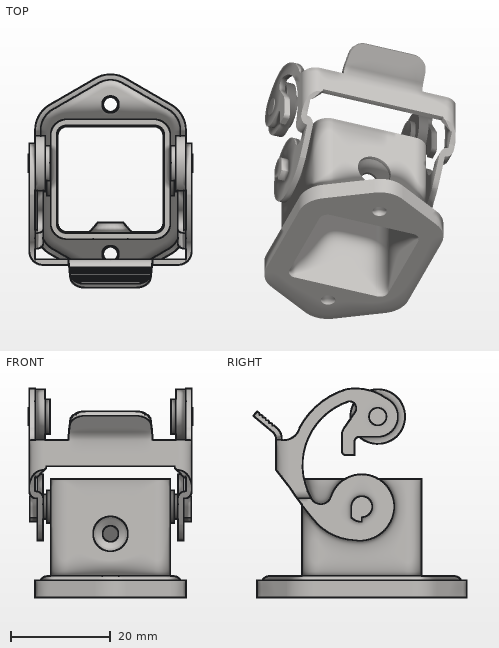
import cadquery as cq
import math

FLANGE_HALF_WIDTH = 15.15
FLANGE_APEX_Y = 21.98
FLANGE_SLOPE_DEG = 30.0
FLANGE_CORNER_R = 6.0
FLANGE_THICKNESS = 3.5
FLANGE_TOP_Z = 4.35
PAD_INSET = 0.92
PAD_EDGE_R = 1.64
HOLE_Y = 15.0
HOLE_TOP_R = 1.7
HOLE_BOTTOM_R = 1.45

HOUSING_SIZE = 24.0
HOUSING_TOP_Z = 23.8
HOUSING_CORNER_R = 3.2
WALL = 1.2
OPENING_CORNER_R = 2.0
OPENING_DRAFT_DEG = 0.6
SCREW_Z = 12.8
SCREW_MOUTH_R = 3.5
SCREW_MOUTH_DEPTH = 0.8
SCREW_CONE_LENGTH = 2.0
SCREW_HOLE_R = 1.6
SCREW_BOSS_R = 4.45
SCREW_BOSS_TIP_R = 2.55
SCREW_BOSS_LENGTH = 2.15

PIVOT_Y = 0.0
PIVOT_Z = 18.25
PIN_COLLAR_R = 3.3
PIN_COLLAR_LENGTH = 0.8
PIN_R = 2.5
PIN_HEAD_R = 2.1
PIN_HOOK_R = 3.05
PIN_END_X = 16.2

SHEET = 1.2
LEVER_HALF_WIDTH = 16.3
HUB_PLATE_OUTER_X = 14.7
JOG_TOP_Z = 21.34
JOG_BOTTOM_Z = 19.89
JOG_INNER_MID = (14.2, 21.1)
HUB_R = 6.5
HUB_REAR_R = 6.75
ARM_CENTER = (1.55, 26.6)
ARM_INNER_R = 13.4
ARM_OUTER_R = 15.9
ARM_START_DEG = 107.0
ARM_END_DEG = 152.0
ARM_MID_DEG = 170.0
SLOT_START_DEG = 108.0
CROTCH_R = 2.15
CROTCH_CENTER = (-8.2, 20.9)
LEVER_TOP_Z = 41.94
HEAD_CREST_Y = -0.6
UNDERSIDE_UPPER_MID = (-11.8, 18.3)
UNDERSIDE_BEND = (-8.82, 14.67)
UNDERSIDE_LOWER_MID = (-5.4, 12.4)
HUB_BOTTOM = (-1.5, 11.52)

SLOT_CENTER = (-2.45, 37.95)
SLOT_R = 1.35
SLOT_MID_DEG = 36.0
SLOT_END_DEG = -38.0
FINGER_FRONT_Y = -4.0
FINGER_REAR_Y = -1.44
FINGER_KNEE_Z = 32.8
FINGER_KNEE_MID = (-3.88, 33.4)
FINGER_KNEE_TOP = (-3.6, 33.95)
FINGER_BOTTOM_Z = 28.55
FINGER_TIP_R = 0.8
FINGER_ROOT_R = 1.0

ROLLER_CENTER = (3.2, 36.3)
HEAD_R = 4.05
HEAD_END_DEG = 65.0
ROLLER_R = 5.5
ROLLER_LENGTH = 2.0
ROLLER_CAP_R = 3.5
ROLLER_CAP_LENGTH = 1.0
RIVET_R = 1.76
RIVET_END_X = 16.5

BRIDGE_FRONT_Y = -17.2
BRIDGE_TOP_Z = 31.63
BRIDGE_BOTTOM_Z = 26.3
BRIDGE_CORNER_R = 2.8
BRIDGE_HOLLOW_MID = (-13.75, 32.2)
BRIDGE_HOLLOW_END_Y = -16.1
SLOPE_FRONT_Z = 25.6
SLOPE_ARM_POINT = (-14.43, 22.05)
BRIDGE_STEP_X = 12.85
BRIDGE_STEP_Z = 26.0
TAB_TIP_Y = -21.76
TAB_TIP_Z = 36.45
TAB_ANGLE_DEG = 40.0
TAB_BEND_R = 1.9
TAB_BASE_HALF_WIDTH = 8.6
TAB_TIP_HALF_WIDTH = 7.9
TAB_TAPER_LENGTH = 9.0
TAB_CORNER_R = 3.0
GRIP_COUNT = 5
GRIP_PITCH = 0.84
GRIP_WIDTH = 0.45


def polar(center, radius, degrees):
    """Point at an angle on a circle in the YZ plane."""
    angle = math.radians(degrees)
    return (center[0] + radius * math.cos(angle), center[1] + radius * math.sin(angle))


def offset_point(point, direction, distance):
    """Point shifted by a distance along a unit direction."""
    return tuple(p + distance * d for p, d in zip(point, direction))


def toward(start, target, distance):
    """Point at a distance from start in the direction of target."""
    span = math.dist(start, target)
    return tuple(a + (b - a) * distance / span for a, b in zip(start, target))


def x_cylinder(center, radius, x_start, x_end):
    return (
        cq.Workplane("YZ", origin=(x_start, 0, 0))
        .center(*center)
        .circle(radius)
        .extrude(x_end - x_start)
    )


def cone(origin, direction, start_r, end_r, length):
    return cq.Workplane(
        cq.Solid.makeCone(start_r, end_r, length, cq.Vector(*origin), cq.Vector(*direction))
    )


def flange_prism(inset, height):
    """Six-sided rounded prism, offset inward from the flange outline."""
    slope = math.radians(FLANGE_SLOPE_DEG)
    half_width = FLANGE_HALF_WIDTH - inset
    apex = FLANGE_APEX_Y - inset / math.cos(slope)
    shoulder = apex - half_width * math.tan(slope)
    outline = [
        (0, apex),
        (half_width, shoulder),
        (half_width, -shoulder),
        (0, -apex),
        (-half_width, -shoulder),
        (-half_width, shoulder),
    ]
    prism = cq.Workplane("XY").polyline(outline).close().extrude(height)
    return prism.edges("|Z").fillet(FLANGE_CORNER_R - inset)


def make_flange():
    pad = flange_prism(PAD_INSET, FLANGE_TOP_Z).faces(">Z").edges().fillet(PAD_EDGE_R)
    flange = flange_prism(0, FLANGE_THICKNESS).union(pad)
    for y in (-HOLE_Y, HOLE_Y):
        hole = cone((0, y, 0), (0, 0, 1), HOLE_BOTTOM_R, HOLE_TOP_R, FLANGE_TOP_Z)
        flange = flange.cut(hole)
    return flange


def make_housing():
    """Flange and open square tube, with a countersunk screw boss in the front wall."""
    tube = cq.Workplane("XY").rect(HOUSING_SIZE, HOUSING_SIZE).extrude(HOUSING_TOP_Z)
    tube = tube.edges("|Z").fillet(HOUSING_CORNER_R)
    opening_size = HOUSING_SIZE - 2 * WALL
    opening = (
        cq.Workplane("XY", origin=(0, 0, HOUSING_TOP_Z))
        .sketch()
        .rect(opening_size, opening_size)
        .vertices()
        .fillet(OPENING_CORNER_R)
        .finalize()
        .extrude(-HOUSING_TOP_Z, taper=OPENING_DRAFT_DEG)
    )
    front_y = -HOUSING_SIZE / 2
    inward = (0, 1, 0)
    boss_y = front_y + WALL
    cone_y = front_y + SCREW_MOUTH_DEPTH
    through_depth = WALL + SCREW_BOSS_LENGTH
    boss = cone((0, boss_y, SCREW_Z), inward, SCREW_BOSS_R, SCREW_BOSS_TIP_R, SCREW_BOSS_LENGTH)
    countersink = cone((0, cone_y, SCREW_Z), inward, SCREW_MOUTH_R, SCREW_HOLE_R, SCREW_CONE_LENGTH)
    housing = make_flange().union(tube).cut(opening).union(boss).cut(countersink)
    for radius, depth in ((SCREW_MOUTH_R, SCREW_MOUTH_DEPTH), (SCREW_HOLE_R, through_depth)):
        bore = cq.Workplane("XZ", origin=(0, front_y, SCREW_Z)).circle(radius).extrude(-depth)
        housing = housing.cut(bore)
    return housing


def make_pin():
    """Pivot pin on the +X side: collar, shank and a hooked head."""
    pivot = (PIVOT_Y, PIVOT_Z)
    wall_x = HOUSING_SIZE / 2
    inside_wall_x = wall_x - WALL / 2
    collar = x_cylinder(pivot, PIN_COLLAR_R, inside_wall_x, wall_x + PIN_COLLAR_LENGTH)
    shank = x_cylinder(pivot, PIN_R, inside_wall_x, HUB_PLATE_OUTER_X - SHEET)
    head_x = HUB_PLATE_OUTER_X - SHEET
    head = x_cylinder(pivot, PIN_HEAD_R, head_x, PIN_END_X)
    hook_limit = (
        cq.Workplane("YZ", origin=(head_x, 0, 0))
        .moveTo(*pivot)
        .rect(-PIN_HEAD_R, -PIN_HOOK_R, centered=False)
        .extrude(PIN_END_X - head_x)
    )
    hook = x_cylinder(pivot, PIN_HOOK_R, head_x, PIN_END_X).intersect(hook_limit)
    return collar.union(shank).union(head).union(hook)


def make_side_profile():
    """Side outline of the +X arm, extruded across both sheet levels."""
    pivot = (PIVOT_Y, PIVOT_Z)
    hub_to_crotch = toward(pivot, CROTCH_CENTER, HUB_R)
    crotch_to_arm = toward(CROTCH_CENTER, ARM_CENTER, -CROTCH_R)
    hub_rear = (HUB_R, PIVOT_Z)
    hub_rear_center = (HUB_R - HUB_REAR_R, PIVOT_Z)
    head_bottom_z = ROLLER_CENTER[1] - HEAD_R
    inner_x = HUB_PLATE_OUTER_X - SHEET
    return (
        cq.Workplane("YZ", origin=(inner_x, 0, 0))
        .moveTo(*hub_rear)
        .threePointArc(polar(pivot, HUB_R, 90), hub_to_crotch)
        .threePointArc((CROTCH_CENTER[0], CROTCH_CENTER[1] - CROTCH_R), crotch_to_arm)
        .threePointArc(
            polar(ARM_CENTER, ARM_INNER_R, ARM_MID_DEG),
            polar(ARM_CENTER, ARM_INNER_R, SLOT_START_DEG),
        )
        .threePointArc(polar(SLOT_CENTER, SLOT_R, SLOT_MID_DEG), polar(SLOT_CENTER, SLOT_R, SLOT_END_DEG))
        .lineTo(*FINGER_KNEE_TOP)
        .threePointArc(FINGER_KNEE_MID, (FINGER_FRONT_Y, FINGER_KNEE_Z))
        .lineTo(FINGER_FRONT_Y, FINGER_BOTTOM_Z + FINGER_TIP_R)
        .radiusArc((FINGER_FRONT_Y + FINGER_TIP_R, FINGER_BOTTOM_Z), -FINGER_TIP_R)
        .lineTo(FINGER_REAR_Y, FINGER_BOTTOM_Z)
        .lineTo(FINGER_REAR_Y, head_bottom_z - FINGER_ROOT_R)
        .radiusArc((FINGER_REAR_Y + FINGER_ROOT_R, head_bottom_z), FINGER_ROOT_R)
        .lineTo(ROLLER_CENTER[0], head_bottom_z)
        .threePointArc(polar(ROLLER_CENTER, HEAD_R, 0), polar(ROLLER_CENTER, HEAD_R, HEAD_END_DEG))
        .threePointArc((HEAD_CREST_Y, LEVER_TOP_Z), polar(ARM_CENTER, ARM_OUTER_R, ARM_START_DEG))
        .threePointArc(
            polar(ARM_CENTER, ARM_OUTER_R, (ARM_START_DEG + ARM_END_DEG) / 2),
            polar(ARM_CENTER, ARM_OUTER_R, ARM_END_DEG),
        )
        .threePointArc(BRIDGE_HOLLOW_MID, (BRIDGE_HOLLOW_END_Y, BRIDGE_TOP_Z))
        .lineTo(BRIDGE_FRONT_Y, BRIDGE_TOP_Z)
        .lineTo(BRIDGE_FRONT_Y, SLOPE_FRONT_Z)
        .lineTo(*SLOPE_ARM_POINT)
        .threePointArc(UNDERSIDE_UPPER_MID, UNDERSIDE_BEND)
        .threePointArc(UNDERSIDE_LOWER_MID, HUB_BOTTOM)
        .threePointArc(polar(hub_rear_center, HUB_REAR_R, -45), hub_rear)
        .close()
        .extrude(LEVER_HALF_WIDTH - inner_x)
    )


def make_jogged_sheet():
    """Sheet section in XZ: lower plate, stepped outward to the upper arm."""
    jog_r = JOG_TOP_Z - JOG_BOTTOM_Z
    upper_inner_x = LEVER_HALF_WIDTH - SHEET
    lower_inner_x = HUB_PLATE_OUTER_X - SHEET
    length = 2 * LEVER_TOP_Z
    section_top_z = LEVER_TOP_Z + SHEET
    return (
        cq.Workplane("XZ", origin=(0, length / 2, 0))
        .moveTo(HUB_PLATE_OUTER_X, 0)
        .lineTo(HUB_PLATE_OUTER_X, JOG_BOTTOM_Z)
        .lineTo(LEVER_HALF_WIDTH - jog_r, JOG_BOTTOM_Z)
        .radiusArc((LEVER_HALF_WIDTH, JOG_TOP_Z), -jog_r)
        .lineTo(LEVER_HALF_WIDTH, section_top_z)
        .lineTo(upper_inner_x, section_top_z)
        .lineTo(upper_inner_x, JOG_TOP_Z)
        .threePointArc(JOG_INNER_MID, (lower_inner_x, JOG_BOTTOM_Z))
        .lineTo(lower_inner_x, 0)
        .close()
        .extrude(length)
    )


def make_arm():
    """Side arm on the +X side with its roller."""
    profile = make_side_profile()
    crotch_y = CROTCH_CENTER[0]
    limit_size = ARM_CENTER[1]
    around_hub = (
        cq.Workplane("XY", origin=(0, crotch_y, 0))
        .box(HUB_PLATE_OUTER_X, limit_size, limit_size, centered=False)
    )
    behind_crotch = (
        cq.Workplane("XY", origin=(0, crotch_y, 0))
        .box(limit_size, limit_size, limit_size, centered=False)
    )
    hub_plate = profile.intersect(around_hub)
    arm = profile.intersect(make_jogged_sheet()).cut(behind_crotch).union(hub_plate)
    inner_x = LEVER_HALF_WIDTH - SHEET
    roller_x = inner_x - ROLLER_LENGTH
    roller = x_cylinder(ROLLER_CENTER, ROLLER_R, roller_x, inner_x)
    cap = x_cylinder(ROLLER_CENTER, ROLLER_CAP_R, roller_x - ROLLER_CAP_LENGTH, roller_x)
    rivet = x_cylinder(ROLLER_CENTER, RIVET_R, inner_x, RIVET_END_X)
    return arm.union(roller).union(cap).union(rivet)


def make_bridge():
    """Flat front strip whose lower corners follow the sloping underside of the arms."""
    inner_x = LEVER_HALF_WIDTH - SHEET
    outline = [
        (BRIDGE_STEP_X, BRIDGE_BOTTOM_Z),
        (BRIDGE_STEP_X, BRIDGE_STEP_Z),
        (inner_x, BRIDGE_STEP_Z - (inner_x - BRIDGE_STEP_X)),
        (inner_x, BRIDGE_TOP_Z),
    ]
    mirrored = [(-x, z) for x, z in reversed(outline)]
    strip = (
        cq.Workplane("XZ", origin=(0, BRIDGE_FRONT_Y + SHEET, 0))
        .polyline(outline + mirrored)
        .close()
        .extrude(SHEET)
    )
    below_slope = (
        cq.Workplane("YZ", origin=(-LEVER_HALF_WIDTH, 0, 0))
        .polyline([SLOPE_ARM_POINT, (BRIDGE_FRONT_Y, SLOPE_FRONT_Z), (BRIDGE_FRONT_Y, SLOPE_ARM_POINT[1])])
        .close()
        .extrude(2 * LEVER_HALF_WIDTH)
    )
    return strip.cut(below_slope)


def make_grip_grooves(tip_upper, normal):
    """Cutters for the V-grooves across the upper face, counted from the tip edge."""
    along = (normal[1], -normal[0])
    half_width = GRIP_WIDTH / 2
    grooves = cq.Workplane("YZ", origin=(-TAB_BASE_HALF_WIDTH, 0, 0))
    for index in range(1, GRIP_COUNT + 1):
        center = offset_point(tip_upper, along, index * GRIP_PITCH)
        diamond = [
            offset_point(center, direction, side * half_width)
            for side in (-1, 1)
            for direction in (along, normal)
        ]
        grooves = grooves.polyline(diamond).close()
    return grooves.extrude(2 * TAB_BASE_HALF_WIDTH)


def make_tab():
    """Thumb tab bent forward from the bridge, tapered with rounded corners."""
    angle = math.radians(TAB_ANGLE_DEG)
    normal = (math.sin(angle), math.cos(angle))
    inner_y = BRIDGE_FRONT_Y + SHEET
    slope = math.tan(angle)
    tip_upper = offset_point((TAB_TIP_Y, TAB_TIP_Z), normal, SHEET)
    bend_front = (BRIDGE_FRONT_Y, TAB_TIP_Z - (BRIDGE_FRONT_Y - TAB_TIP_Y) * slope)
    bend_rear = (inner_y, tip_upper[1] - (inner_y - tip_upper[0]) * slope)
    root_z = BRIDGE_TOP_Z - SHEET
    strip = (
        cq.Workplane("YZ", origin=(-TAB_BASE_HALF_WIDTH, 0, 0))
        .polyline(
            [
                (BRIDGE_FRONT_Y, root_z),
                bend_front,
                (TAB_TIP_Y, TAB_TIP_Z),
                tip_upper,
                bend_rear,
                (inner_y, root_z),
            ]
        )
        .close()
        .extrude(2 * TAB_BASE_HALF_WIDTH)
    )
    for bend, radius in ((bend_front, TAB_BEND_R), (bend_rear, TAB_BEND_R + SHEET)):
        strip = strip.edges(cq.selectors.NearestToPointSelector((0, *bend))).fillet(radius)
    plane = cq.Plane(origin=(0, TAB_TIP_Y, TAB_TIP_Z), xDir=(1, 0, 0), normal=(0, *normal))
    blank = (
        cq.Workplane(plane)
        .polyline(
            [
                (-TAB_TIP_HALF_WIDTH, 0),
                (TAB_TIP_HALF_WIDTH, 0),
                (TAB_BASE_HALF_WIDTH, TAB_TAPER_LENGTH),
                (-TAB_BASE_HALF_WIDTH, TAB_TAPER_LENGTH),
            ]
        )
        .close()
        .extrude(TAB_TAPER_LENGTH, both=True)
    )
    for side in (-1, 1):
        tip_corner = (side * TAB_TIP_HALF_WIDTH, TAB_TIP_Y, TAB_TIP_Z)
        blank = blank.edges(cq.selectors.NearestToPointSelector(tip_corner)).fillet(TAB_CORNER_R)
    tab = strip.intersect(blank)
    return tab.cut(make_grip_grooves(tip_upper, normal))


def make_lever():
    arm = make_arm()
    lever = arm.union(arm.mirror("YZ")).union(make_bridge())
    corner_z = (BRIDGE_TOP_Z + SLOPE_FRONT_Z) / 2
    for side in (-1, 1):
        corner = (side * LEVER_HALF_WIDTH, BRIDGE_FRONT_Y, corner_z)
        lever = lever.edges(cq.selectors.NearestToPointSelector(corner)).fillet(BRIDGE_CORNER_R)
    return lever.union(make_tab())


pin = make_pin()
result = make_housing().union(pin).union(pin.mirror("YZ")).union(make_lever())